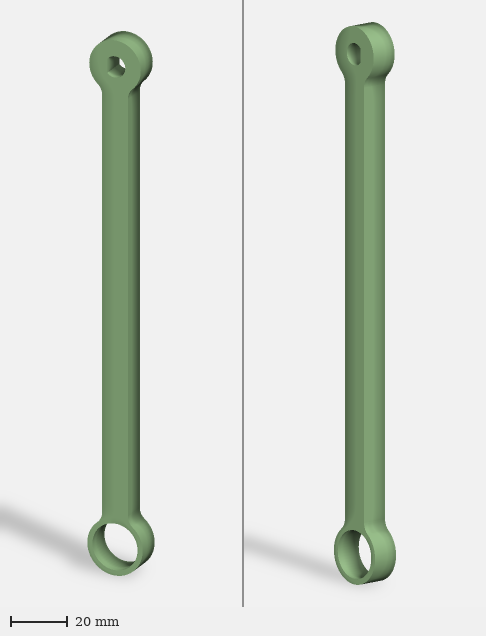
import cadquery as cq
import math

thickness = 10.0
centre_distance = 180.0
bar_width = 10.0

ring_bore_diameter = 17.5
ring_wall = 2.0
ring_radius = ring_bore_diameter / 2 + ring_wall

head_radius = 10.0
d_bore_diameter = 8.0
d_flat_offset = 3.0

neck_fillet_radius = 5.0


def plate(sketch):
    """Extrude an XZ outline symmetrically about Y = 0."""
    return sketch.extrude(thickness / 2, both=True)


def disc(radius, z_centre):
    """Full-thickness round end, with its axis along Y."""
    return plate(cq.Workplane("XZ").center(0, z_centre).circle(radius))


def neck(radius, z_centre, z_direction):
    """Material between an end disc and the bar, with concave arcs tangent to both.

    z_direction is the direction from the disc towards the bar (+1 or -1).
    """
    half_width = bar_width / 2
    arc_x = half_width + neck_fillet_radius
    arc_height = math.sqrt((radius + neck_fillet_radius) ** 2 - arc_x ** 2)

    tangent_ratio = radius / (radius + neck_fillet_radius)
    disc_x = arc_x * tangent_ratio
    disc_z = z_centre + z_direction * arc_height * tangent_ratio
    bar_z = z_centre + z_direction * arc_height

    mid_angle = math.atan2(arc_height, arc_x) / 2
    mid_x = arc_x - neck_fillet_radius * math.cos(mid_angle)
    mid_z = bar_z - z_direction * neck_fillet_radius * math.sin(mid_angle)

    outline = (
        cq.Workplane("XZ")
        .moveTo(0, z_centre)
        .lineTo(disc_x, disc_z)
        .threePointArc((mid_x, mid_z), (half_width, bar_z))
        .lineTo(-half_width, bar_z)
        .threePointArc((-mid_x, mid_z), (-disc_x, disc_z))
        .close()
    )
    return plate(outline)


def d_bore():
    """Round bore of the head, cut off by a flat on its -X side."""
    bore_radius = d_bore_diameter / 2
    flat_half_height = math.sqrt(bore_radius ** 2 - d_flat_offset ** 2)
    outline = (
        cq.Workplane("XZ")
        .center(0, centre_distance)
        .moveTo(-d_flat_offset, -flat_half_height)
        .threePointArc((bore_radius, 0), (-d_flat_offset, flat_half_height))
        .close()
    )
    return plate(outline)


bar = plate(
    cq.Workplane("XZ")
    .center(0, centre_distance / 2)
    .rect(bar_width, centre_distance)
)

body = (
    bar.union(disc(ring_radius, 0))
    .union(neck(ring_radius, 0, 1))
    .union(disc(head_radius, centre_distance))
    .union(neck(head_radius, centre_distance, -1))
    .clean()
)

ring_bore = disc(ring_bore_diameter / 2, 0)

result = body.cut(ring_bore).cut(d_bore())